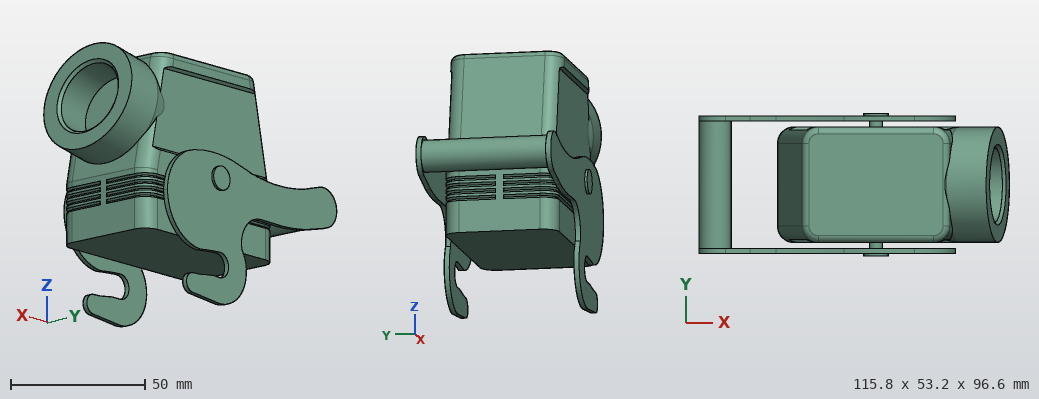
import cadquery as cq
import math

HOOD_HALF_LENGTH = 36.7
HOOD_HALF_WIDTH = 21.5
HOOD_HEIGHT = 69.9
LEAN_START_HEIGHT = 23.5
LEAN_ANGLE = 11.7
CORNER_RADIUS = 6.1
TOP_FILLET = 2.5

PANEL_DEPTH = 1.0
PANEL_BOTTOM = 32.0
PANEL_TOP = 63.1

GROOVE_COUNT = 4
GROOVE_FIRST_BOTTOM = 12.2
GROOVE_PITCH = 2.5
GROOVE_HEIGHT = 1.5
GROOVE_DEPTH = 0.75
GROOVE_GAP = 3.1

NECK_RADIUS = HOOD_HALF_WIDTH
NECK_LENGTH = 15
OVERALL_RIGHT = 49.8
NECK_END_X = OVERALL_RIGHT - NECK_RADIUS * math.sin(math.radians(LEAN_ANGLE))
NECK_END_Z = 52.1
NECK_ROOT_LENGTH = 5.1
NECK_ROOT_RADIUS = HOOD_HALF_WIDTH - PANEL_DEPTH
BORE_RADIUS = 13.9
BORE_CHAMFER = 1.2

PLATE_INNER = 23.7
PLATE_OUTER = 25.7
LEVER_LEFT = -66
PIVOT_HEIGHT = 24.8
PIN_RADIUS = 5.0 / 2
PIN_HEAD_RADIUS = 4.6
PIN_HEAD_OUTER = 26.6
HANDLE_RADIUS = 6.0
HANDLE_X = LEVER_LEFT + HANDLE_RADIUS

GRIP_RADIUS = 7.8
GRIP_X = LEVER_LEFT + GRIP_RADIUS
GRIP_TOP_ANGLE = 74
GRIP_BOTTOM_ANGLE = 256
HOOK_Z = -8.5
HOOK_OUTER_RADIUS = 14.9
HOOK_SLOT_RADIUS = 4.9
HOOK_TIP_RADIUS = 3.8
HOOK_TIP_X = 15
HOOK_TIP_Z = -18.2
HOOK_TIP_END_ANGLE = -85
HOOK_OUTER_START_ANGLE = -80
HOOK_OUTER_MIDDLE_ANGLE = -160
HOOK_OUTER_END_ANGLE = -214


def polar(x, z, radius, degrees):
    """Point on a circle about (x, z)."""
    angle = math.radians(degrees)
    return (x + radius * math.cos(angle), z + radius * math.sin(angle))


def hood_body():
    lean = (HOOD_HEIGHT - LEAN_START_HEIGHT) * math.tan(math.radians(LEAN_ANGLE))
    top_half_length = HOOD_HALF_LENGTH - lean
    right_side = [
        (HOOD_HALF_LENGTH, 0),
        (HOOD_HALF_LENGTH, LEAN_START_HEIGHT),
        (top_half_length, HOOD_HEIGHT),
    ]
    left_side = [(-x, z) for x, z in reversed(right_side)]
    body = (
        cq.Workplane("XZ")
        .polyline(right_side + left_side)
        .close()
        .extrude(HOOD_HALF_WIDTH, both=True)
    )
    body = body.edges("not (|Y or |X)").fillet(CORNER_RADIUS)
    return body.faces(">Z").edges().fillet(TOP_FILLET)


def side_panels():
    panel = (
        cq.Workplane("YZ")
        .polyline([
            (HOOD_HALF_WIDTH - PANEL_DEPTH, PANEL_BOTTOM),
            (HOOD_HALF_WIDTH, PANEL_BOTTOM - PANEL_DEPTH),
            (HOOD_HALF_WIDTH, PANEL_TOP + PANEL_DEPTH),
            (HOOD_HALF_WIDTH - PANEL_DEPTH, PANEL_TOP),
        ])
        .close()
        .extrude(HOOD_HALF_LENGTH, both=True)
    )
    return panel.union(panel.mirror("XZ"))


def groove_cutter(bottom):
    """Ring around the hood with a V-shaped inner edge."""

    def section(inset):
        return (
            cq.Sketch()
            .rect(2 * (HOOD_HALF_LENGTH - inset), 2 * (HOOD_HALF_WIDTH - inset))
            .vertices()
            .fillet(CORNER_RADIUS - inset)
        )

    half_height = GROOVE_HEIGHT / 2
    waist = section(GROOVE_DEPTH).moved(cq.Location(cq.Vector(0, 0, half_height)))
    core_half = cq.Workplane("XY").placeSketch(section(0), waist).loft()
    core = core_half.union(core_half.mirror("XY", (0, 0, half_height)))
    gap = cq.Workplane("XY").box(
        2 * HOOD_HALF_LENGTH, GROOVE_GAP, GROOVE_HEIGHT, centered=(True, True, False)
    )
    ring = cq.Workplane("XY").placeSketch(section(0)).extrude(GROOVE_HEIGHT).cut(core).cut(gap)
    return ring.translate((0, 0, bottom))


def neck_solid(profile):
    """Turn a (radius, depth behind the end face) profile about the leaning neck axis."""
    angle = math.radians(LEAN_ANGLE)
    section = cq.Plane(
        origin=(NECK_END_X, 0, NECK_END_Z),
        xDir=(0, 1, 0),
        normal=(math.sin(angle), 0, -math.cos(angle)),
    )
    outline = [(radius, -depth) for radius, depth in profile]
    return cq.Workplane(section).polyline(outline).close().revolve(360, (0, 0), (0, 1))


def neck():
    return neck_solid([
        (0, 0),
        (NECK_RADIUS, 0),
        (NECK_RADIUS, NECK_LENGTH),
        (NECK_ROOT_RADIUS, NECK_LENGTH + NECK_ROOT_LENGTH),
        (0, NECK_LENGTH + NECK_ROOT_LENGTH),
    ])


def neck_bore():
    return neck_solid([
        (0, 0),
        (BORE_RADIUS + BORE_CHAMFER, 0),
        (BORE_RADIUS, BORE_CHAMFER),
        (BORE_RADIUS, NECK_LENGTH),
        (0, NECK_LENGTH),
    ])


def lever_plate():
    """Side plate on the +Y side: grip arm, pivot disc and hook."""
    grip_top = polar(GRIP_X, PIVOT_HEIGHT, GRIP_RADIUS, GRIP_TOP_ANGLE)
    grip_left = polar(GRIP_X, PIVOT_HEIGHT, GRIP_RADIUS, 180)
    grip_bottom = polar(GRIP_X, PIVOT_HEIGHT, GRIP_RADIUS, GRIP_BOTTOM_ANGLE)
    tip_bottom = polar(HOOK_TIP_X, HOOK_TIP_Z, HOOK_TIP_RADIUS, HOOK_TIP_END_ANGLE)
    outer_start = polar(0, HOOK_Z, HOOK_OUTER_RADIUS, HOOK_OUTER_START_ANGLE)
    outer_middle = polar(0, HOOK_Z, HOOK_OUTER_RADIUS, HOOK_OUTER_MIDDLE_ANGLE)
    outer_end = polar(0, HOOK_Z, HOOK_OUTER_RADIUS, HOOK_OUTER_END_ANGLE)
    outline = (
        cq.Workplane("XZ")
        .moveTo(*grip_top)
        .lineTo(-46.9, 29.6)
        .threePointArc((-42.2, 28.9), (-37.3, 28.5))
        .threePointArc((-23.5, 29.0), (-11.9, 31.7))
        .threePointArc((2.9, 34.1), (14.4, 33.1))
        .threePointArc((25.5, 26.6), (29.6, 15))
        .threePointArc((24.3, 1.6), (11.5, -4.5))
        .threePointArc((5.8, -3.9), (0, HOOK_Z + HOOK_SLOT_RADIUS))
        .threePointArc((-HOOK_SLOT_RADIUS, HOOK_Z), (0, HOOK_Z - HOOK_SLOT_RADIUS))
        .lineTo(4.6, HOOK_Z - HOOK_SLOT_RADIUS)
        .lineTo(11.5, -14.2)
        .lineTo(HOOK_TIP_X, HOOK_TIP_Z + HOOK_TIP_RADIUS)
        .threePointArc((HOOK_TIP_X + HOOK_TIP_RADIUS, HOOK_TIP_Z), tip_bottom)
        .lineTo(*outer_start)
        .threePointArc(outer_middle, outer_end)
        .threePointArc((-15.4, 10.1), (-23.1, 13.4))
        .lineTo(-34.7, 13.2)
        .threePointArc((-41.7, 13.5), (-48.6, 14.5))
        .lineTo(*grip_bottom)
        .threePointArc(grip_left, grip_top)
        .close()
    )
    return outline.extrude(PLATE_OUTER - PLATE_INNER).translate((0, PLATE_OUTER, 0))


def cross_bar(x, radius, half_length):
    """Round bar along Y at the pivot height."""
    return (
        cq.Workplane("XZ")
        .center(x, PIVOT_HEIGHT)
        .circle(radius)
        .extrude(half_length, both=True)
    )


def pin_head():
    head = cq.Workplane("XZ").center(0, PIVOT_HEIGHT).circle(PIN_HEAD_RADIUS)
    return head.extrude(PIN_HEAD_OUTER - PLATE_OUTER).translate((0, PIN_HEAD_OUTER, 0))


hood = hood_body().cut(side_panels())
for index in range(GROOVE_COUNT):
    hood = hood.cut(groove_cutter(GROOVE_FIRST_BOTTOM + index * GROOVE_PITCH))
hood = hood.union(neck()).cut(neck_bore())

plate_with_head = lever_plate().union(pin_head())
result = (
    hood.union(cross_bar(0, PIN_RADIUS, PLATE_OUTER))
    .union(cross_bar(HANDLE_X, HANDLE_RADIUS, PLATE_OUTER))
    .union(plate_with_head)
    .union(plate_with_head.mirror("XZ"))
)